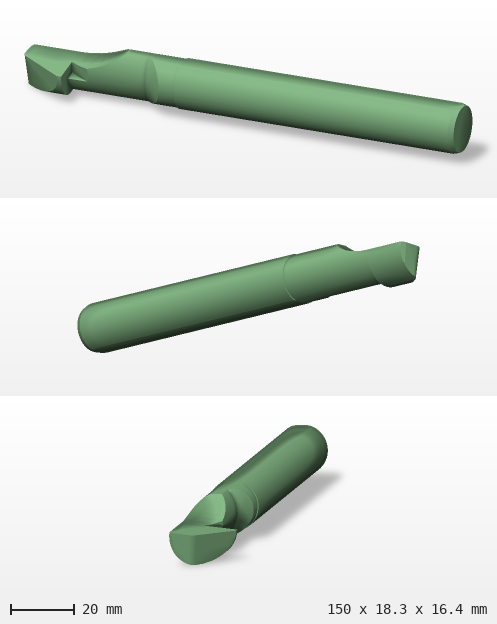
import cadquery as cq
import math

length = 150.0
shank_start = 54.7
shank_radius = 8.1
across_flats = 14.8
flat_height = across_flats / 2
end_chamfer_length = 1.8
end_chamfer_depth = 0.6

neck_start = 12.0
neck_radius = 7.8
relief_radius = 10.3
relief_side = -4.0
relief_end = 43.0
relief_ramp_length = 6.5
relief_axis_y = relief_side + relief_radius

head_radius = 9.0
head_center_y = neck_radius - head_radius
head_back_x = 16.5
head_back_angle = 4.5
nose_angle = 33.5
clearance_angle = 6.5
nose_radius = 2.7
nose_corner_y = 6.1
nose_corner_angle = 70.0
head_top = 1.8
tip_radius = 0.7

rake_height = 0.9
rake_angle = 5.0
flute_start = 16.8
flute_radius = 30.0

insert_thickness = 3.7
seat_x = 6.3
seat_y = 6.7
seat_wall_angle = 32.0
seat_side_angle = 4.0

reach = 24.0


def slope(angle):
    return math.tan(math.radians(angle))


def bar(start, end, radius, center_y=0.0):
    """Round bar along X."""
    return (
        cq.Workplane("YZ", origin=(start, center_y, 0))
        .circle(radius)
        .extrude(end - start)
    )


tilt = math.radians(rake_angle)
rake_plane = cq.Plane(
    origin=(0, 0, rake_height),
    xDir=(1, 0, 0),
    normal=(0, -math.sin(tilt), math.cos(tilt)),
)


def make_shank():
    shank = bar(shank_start, length, shank_radius)
    shank = shank.faces(">X").chamfer(end_chamfer_length, end_chamfer_depth)
    flats = cq.Workplane("XY").box(2 * length, reach, 2 * flat_height)
    return shank.intersect(flats)


def make_neck():
    neck = bar(neck_start, shank_start, neck_radius)
    ramp_slope = (neck_radius + relief_side) / relief_ramp_length
    wide_radius = relief_radius + ramp_slope * (shank_start - relief_end)
    relief_form = (
        cq.Workplane("XY", origin=(0, relief_axis_y, 0))
        .moveTo(0, 0)
        .lineTo(0, relief_radius)
        .lineTo(relief_end, relief_radius)
        .lineTo(shank_start, wide_radius)
        .lineTo(shank_start, 0)
        .close()
        .revolve(360, (0, 0, 0), (1, 0, 0))
    )
    below_flat = cq.Workplane("XY", origin=(0, 0, flat_height - reach / 2)).box(2 * length, reach, reach)
    return neck.intersect(relief_form).intersect(below_flat)


def make_flute():
    """Space above the rake face, ending in an arc that rises to the bar surface."""
    run_out = math.sqrt(flute_radius**2 - (flute_radius - reach / 2) ** 2)
    half_angle = math.asin(run_out / flute_radius) / 2
    arc_middle = (
        flute_start + flute_radius * math.sin(half_angle),
        flute_radius * (1 - math.cos(half_angle)),
    )
    profile_plane = cq.Plane(origin=rake_plane.origin, xDir=(1, 0, 0), normal=-rake_plane.yDir)
    return (
        cq.Workplane(profile_plane)
        .moveTo(-reach, 0)
        .lineTo(flute_start, 0)
        .threePointArc(arc_middle, (flute_start + run_out, reach / 2))
        .lineTo(-reach, reach / 2)
        .close()
        .extrude(reach, both=True)
    )


def make_head_blank():
    """Head including the insert, before the flute is cut."""
    end_face_top = rake_height + nose_corner_y * slope(rake_angle)
    end_x = (end_face_top - head_top) * slope(clearance_angle)
    nose = (
        cq.Workplane("XY", origin=(0, 0, head_top))
        .polyline(
            [
                (end_x, 0),
                (2 * reach, -2 * reach * slope(nose_angle)),
                (2 * reach, nose_corner_y + 2 * reach * slope(nose_corner_angle)),
                (end_x, nose_corner_y),
            ]
        )
        .close()
        .extrude(-reach / 2, taper=clearance_angle)
    )
    nose = nose.edges(cq.selectors.NearestToPointSelector((0, 0, -reach / 4))).fillet(nose_radius)

    back_slope = slope(head_back_angle)
    tip_x = head_back_x / (1 - back_slope * slope(nose_angle))
    plan = (
        cq.Workplane("XY", origin=(0, 0, -reach / 2))
        .polyline(
            [
                (head_back_x - back_slope * reach, reach),
                (tip_x, -tip_x * slope(nose_angle)),
                (-reach, reach * slope(nose_angle)),
            ]
        )
        .close()
        .extrude(reach)
        .edges("|Z and <Y")
        .fillet(tip_radius)
    )
    return bar(0, 2 * head_back_x, head_radius, head_center_y).intersect(nose).intersect(plan)


def make_seat():
    """Notch that holds the insert, open above and toward -Y."""
    return (
        cq.Workplane(rake_plane)
        .workplane(offset=-insert_thickness)
        .polyline(
            [
                (seat_x, seat_y),
                (seat_x + reach, seat_y - reach * slope(seat_wall_angle)),
                (seat_x + reach, -reach),
                (seat_x + (seat_y + reach) * slope(seat_side_angle), -reach),
            ]
        )
        .close()
        .extrude(insert_thickness + reach / 4)
    )


flute = make_flute()
seat = make_seat()
head_blank = make_head_blank()

holder = make_shank().union(make_neck()).union(head_blank).cut(flute).cut(seat)
insert = head_blank.cut(flute).intersect(seat)

result = cq.Compound.makeCompound([holder.val(), insert.val()])